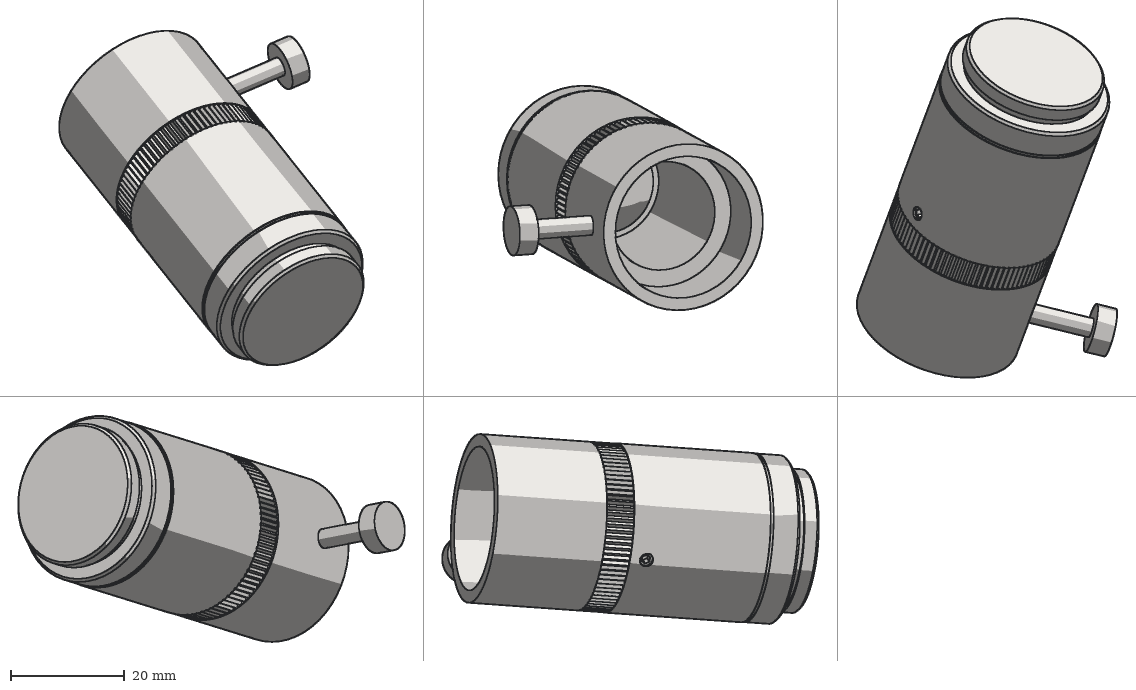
import cadquery as cq
import math


tube_end = 20.0
knurl_end = 25.05
body_end = 50.0
relief_end = 50.55
flange_end = 55.5
neck_end = 56.85
barrel_length = 59.6

tube_radius = 14.9
body_radius = 14.95
relief_radius = 14.8
flange_radius = 14.9
neck_radius = 12.1
mount_radius = 12.7
edge_chamfer = 0.5

tooth_count = 90
tooth_pitch = 2 * math.pi * tube_radius / tooth_count
tooth_depth = tooth_pitch / 2

bore_radius = 12.7
bore_depth = 10.65
throat_radius = 9.7
lens_seat_depth = 39.95
lens_radius = 8.7
lens_bulge = 2.4

screw_x = 7.05
screw_top = 29.55
head_radius = 4.35
head_height = 3.5
stem_radius = 1.7

set_screw_x = 28.0
set_screw_angle = 35.0
set_screw_radius = 1.2
set_screw_recess = 0.5
socket_flats = 1.45
socket_depth = 1.8


def cylinder(start, end, radius):
    """Solid cylinder on the barrel axis between two X positions."""
    return cq.Workplane("YZ", origin=(start, 0, 0)).circle(radius).extrude(end - start)


def knurled_ring():
    """Ring whose outline alternates between tooth tips and groove roots."""
    points = []
    for i in range(2 * tooth_count):
        radius = tube_radius if i % 2 == 0 else tube_radius - tooth_depth
        angle = math.pi * i / tooth_count
        points.append((radius * math.cos(angle), radius * math.sin(angle)))
    ring = cq.Workplane("YZ", origin=(tube_end, 0, 0)).polyline(points).close()
    return ring.extrude(knurl_end - tube_end)


def barrel():
    """All outer sections joined end to end."""
    flange = cylinder(relief_end, flange_end, flange_radius).faces(">X").chamfer(edge_chamfer)
    mount = cylinder(neck_end, barrel_length, mount_radius).faces(">X").chamfer(edge_chamfer)
    return (
        cylinder(0, tube_end, tube_radius)
        .union(knurled_ring())
        .union(cylinder(knurl_end, body_end, body_radius))
        .union(cylinder(body_end, relief_end, relief_radius))
        .union(flange)
        .union(cylinder(flange_end, neck_end, neck_radius))
        .union(mount)
    )


def bore():
    """Stepped bore whose floor is a flat seat around a lens bulging toward the open end."""
    return (
        cq.Workplane("XY")
        .moveTo(0, 0)
        .lineTo(0, bore_radius)
        .lineTo(bore_depth, bore_radius)
        .lineTo(bore_depth, throat_radius)
        .lineTo(lens_seat_depth, throat_radius)
        .lineTo(lens_seat_depth, lens_radius)
        .threePointArc(lens_arc_middle(), (lens_seat_depth - lens_bulge, 0))
        .close()
        .revolve(360, (0, 0, 0), (1, 0, 0))
    )


def lens_arc_middle():
    """Point halfway along the lens profile, from its rim to its crown."""
    sphere_radius = (lens_radius**2 + lens_bulge**2) / (2 * lens_bulge)
    half_angle = math.asin(lens_radius / sphere_radius) / 2
    crown = lens_seat_depth - lens_bulge
    return (
        crown + sphere_radius * (1 - math.cos(half_angle)),
        sphere_radius * math.sin(half_angle),
    )


def thumbscrew():
    """Stem rooted in the middle of the tube wall, with a plain round head."""
    root = (bore_radius + tube_radius) / 2
    top_plane = cq.Workplane("XZ", origin=(screw_x, screw_top, 0))
    head = top_plane.circle(head_radius).extrude(head_height)
    stem = top_plane.circle(stem_radius).extrude(screw_top - root)
    return head.union(stem)


def set_screw_pocket():
    """Round recess, pointing at the barrel axis, with a hexagon socket in its floor."""
    angle = math.radians(set_screw_angle)
    outward = cq.Vector(0, -math.cos(angle), -math.sin(angle))
    mouth = cq.Plane(
        origin=(outward * body_radius + cq.Vector(set_screw_x, 0, 0)).toTuple(),
        xDir=(0, outward.z, -outward.y),
        normal=(-outward).toTuple(),
    )
    recess = cq.Workplane(mouth).circle(set_screw_radius).extrude(set_screw_recess)
    across_corners = socket_flats / math.cos(math.pi / 6)
    socket = cq.Workplane(mouth).polygon(6, across_corners).extrude(set_screw_recess + socket_depth)
    return recess.union(socket)


result = barrel().cut(bore()).union(thumbscrew()).cut(set_screw_pocket())